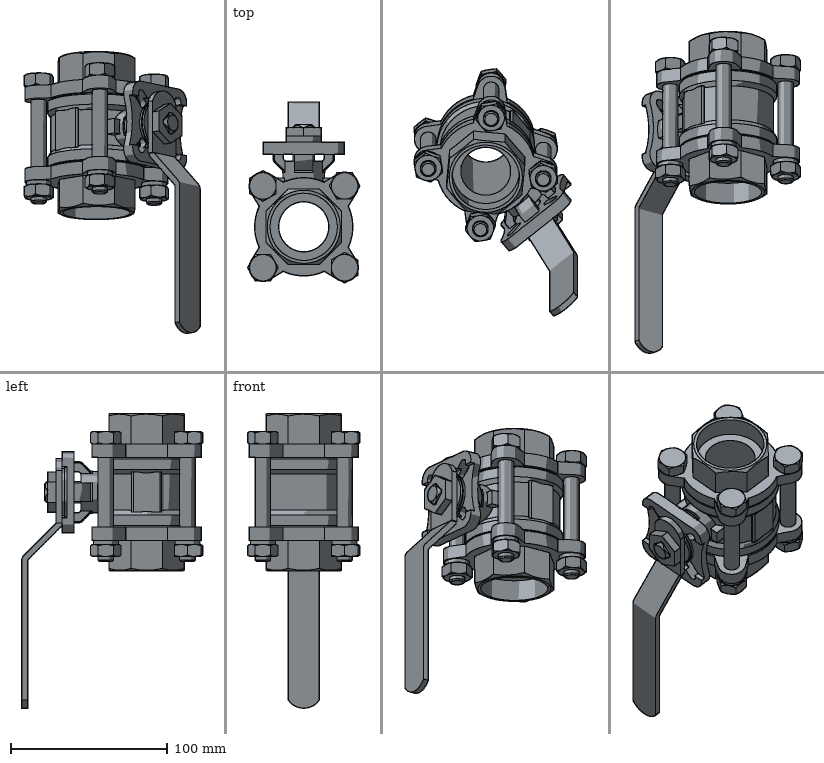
import cadquery as cq
import math


half_height = 50.5
octagon_flats = 48.4
crown_radius = 23.5
crown_slope = 30.0
thread_diameter = 43.0
thread_depth = 13.5
bore_diameter = 32.0
flange_diameter = 63.1
flange_inner_z = 22.3
flange_outer_z = 30.8

bolt_circle_radius = 37.0
bolt_diameter = 10.0
hex_flats = 17.0
hex_chamfer = 1.0
head_height = 8.1
washer_diameter = 16.0
washer_thickness = 2.6
nut_height = 7.7
bolt_tip = 3.2
lobe_radius = 8.9
lobe_side_angle = 30.0
lobe_root_x = 28.7
lobe_root_y = 13.5

ring_diameter = 62.5
ring_outer_z = 21.4
ring_inner_z = 14.5
seat_diameter = 60.5
shoulder_radius = 30.2
shoulder_z = 12.9
barrel_diameter = 58.5
barrel_z = 11.5
side_pad_x = 29.9
side_pad_half_width = 8.5
side_pad_chamfer = 1.1
side_pad_wall = 0.8
side_pad_flare_width = 1.5
side_pad_flare_rise = 1.0
neck_pad_width = 36.0
neck_pad_y = 31.4
neck_pad_height = 9.5

neck_diameter = 26.6
neck_top_y = 42.1
arm_width = 12.0
arm_outer_radius = 19.7
arm_inner_radius = 14.4
arm_foot_radius = 13.6
arm_foot_y = 34.8
arm_bend_y = neck_top_y
arm_bend_radius = 2.8
arm_corner_radius = 1.9
plate_inner_y = 46.5
plate_outer_y = 54.2
plate_half = 26.0
plate_corner_radius = 8.1
waist_half_width = 23.0
waist_half_height = 16.3
recess_depth = 3.0
slot_width = 5.7
slot_start_radius = 18.0
slot_end_radius = 25.0

collar_diameter = 32.0
washer_plate_diameter = 30.5
washer_plate_thickness = 1.5
stem_diameter = 14.0
stem_flats = 11.3
stem_end_y = 65.5
stem_chamfer = 1.9

handle_thickness = 4.0
handle_top_width = 22.5
handle_top_z = 21.7
handle_shoulder_z = 13.8
handle_bend_z = -19.8
crank_angle = 45.0
grip_width = 20.0
grip_outer_y = 80.1
grip_end_z = -138.5
grip_corner_z = -133.0
grip_bend_radius = 5.5
stem_nut_flats = 22.5
stem_nut_height = 5.3

handle_outer_y = plate_outer_y + handle_thickness
bolt_offset = bolt_circle_radius / math.sqrt(2)


def cylinder_y(diameter, start_y, end_y):
    """Round bar along Y between two heights."""
    bar = cq.Workplane("XZ").circle(diameter / 2).extrude(start_y - end_y)
    return bar.translate((0, start_y, 0))


def box_between(x_size, y_start, y_end, z_size):
    """Box centred on X and Z, running between two Y positions."""
    box = cq.Workplane("XY").box(x_size, y_end - y_start, z_size)
    return box.translate((0, (y_start + y_end) / 2, 0))


def hexagon(flats, height, chamfer):
    """Hexagonal prism on Z = 0 with both ends turned down to a round chamfer."""
    corners = flats / math.cos(math.radians(30))
    prism = cq.Workplane("XY").polygon(6, corners).extrude(height)
    envelope = cq.Workplane("XY").circle(corners / 2).extrude(height)
    return prism.intersect(envelope.faces("<Z or >Z").chamfer(chamfer, corners / 2 - flats / 2))


def make_flange():
    """Round flange with four tapered bolt lobes, on the inner flange plane."""
    thickness = flange_outer_z - flange_inner_z
    flange = cq.Workplane("XY").circle(flange_diameter / 2).extrude(thickness)
    side = math.radians(lobe_side_angle)
    tangent_x = bolt_offset + lobe_radius * math.cos(side)
    tangent_y = bolt_offset - lobe_radius * math.sin(side)
    tip = bolt_offset + lobe_radius / math.sqrt(2)
    lobe = (
        cq.Workplane("XY")
        .lineTo(lobe_root_x, lobe_root_y)
        .lineTo(tangent_x, tangent_y)
        .threePointArc((tip, tip), (tangent_y, tangent_x))
        .lineTo(lobe_root_y, lobe_root_x)
        .close()
        .extrude(thickness)
    )
    for quarter in range(4):
        flange = flange.union(lobe.rotate((0, 0, 0), (0, 0, 1), 90 * quarter))
    return flange.translate((0, 0, flange_inner_z))


def make_cap():
    """Upper end cap: flange and octagonal end with a conical crown."""
    half_side_angle = 360 / 8 / 2
    corner_radius = octagon_flats / 2 / math.cos(math.radians(half_side_angle))
    octagon = (
        cq.Workplane("XY")
        .polygon(8, 2 * corner_radius)
        .extrude(half_height - flange_inner_z)
        .rotate((0, 0, 0), (0, 0, 1), half_side_angle)
        .translate((0, 0, flange_inner_z))
    )
    crown_drop = (corner_radius - crown_radius) * math.tan(math.radians(crown_slope))
    crown = (
        cq.Workplane("XZ")
        .polyline([
            (0, 0),
            (corner_radius, 0),
            (corner_radius, half_height - crown_drop),
            (crown_radius, half_height),
            (0, half_height),
        ])
        .close()
        .revolve(360, (0, 0, 0), (0, 1, 0))
    )
    return octagon.intersect(crown).union(make_flange())


def make_centre_body():
    """Barrel with a ring at each end, narrow seats, side pads and a neck pad."""
    barrel_half = [
        (seat_diameter / 2, flange_inner_z),
        (seat_diameter / 2, ring_outer_z),
        (ring_diameter / 2, ring_outer_z),
        (ring_diameter / 2, ring_inner_z),
        (shoulder_radius, shoulder_z),
        (barrel_diameter / 2, barrel_z),
    ]
    mirrored = [(radius, -z) for radius, z in reversed(barrel_half)]
    profile = [(0, flange_inner_z)] + barrel_half + mirrored + [(0, -flange_inner_z)]
    body = cq.Workplane("XZ").polyline(profile).close().revolve(360, (0, 0, 0), (0, 1, 0))
    wall_y = side_pad_half_width + side_pad_chamfer
    wall_top_x = side_pad_x - side_pad_chamfer
    flare_x = wall_top_x - side_pad_wall
    root_x = flare_x - side_pad_flare_rise
    root_y = wall_y + side_pad_flare_width
    side_pads = (
        cq.Workplane("XY")
        .lineTo(side_pad_x, 0)
        .lineTo(side_pad_x, side_pad_half_width)
        .lineTo(wall_top_x, wall_y)
        .lineTo(flare_x, wall_y)
        .lineTo(root_x, root_y)
        .lineTo(0, root_y)
        .close()
        .extrude(shoulder_z, both=True)
    )
    side_pads = side_pads.union(side_pads.mirror("XZ"))
    side_pads = side_pads.union(side_pads.mirror("YZ"))
    neck_pad = box_between(neck_pad_width, 0, neck_pad_y, neck_pad_height)
    return body.union(side_pads).union(neck_pad)


def make_bolt():
    """Bolt along Z on its own axis: head above, washer, nut and tip below."""
    washer_z = -flange_outer_z - washer_thickness
    nut_z = washer_z - nut_height
    tip_z = nut_z - bolt_tip
    shank = (
        cq.Workplane("XY")
        .circle(bolt_diameter / 2)
        .extrude(flange_outer_z - tip_z)
        .faces("<Z")
        .chamfer(hex_chamfer)
        .translate((0, 0, tip_z))
    )
    head = hexagon(hex_flats, head_height, hex_chamfer).translate((0, 0, flange_outer_z))
    washer = cq.Workplane("XY").circle(washer_diameter / 2).extrude(washer_thickness)
    nut = hexagon(hex_flats, nut_height, hex_chamfer).translate((0, 0, nut_z))
    return shank.union(head).union(washer.translate((0, 0, washer_z))).union(nut)


def make_bracket():
    """Four cranked arms that carry the mounting plate from the neck."""
    crank_foot_y = arm_bend_y - (arm_outer_radius - arm_foot_radius)
    ring = (
        cq.Workplane("XY")
        .polyline([
            (0, arm_foot_y),
            (arm_foot_radius, arm_foot_y),
            (arm_foot_radius, crank_foot_y),
            (arm_outer_radius, arm_bend_y),
            (arm_outer_radius, plate_inner_y),
            (0, plate_inner_y),
        ])
        .close()
        .revolve(360, (0, 0, 0), (0, 1, 0))
    )
    bend = cq.selectors.NearestToPointSelector((0, arm_bend_y, 0))
    ring = ring.edges("%CIRCLE").edges(bend).fillet(arm_bend_radius)
    window = cylinder_y(2 * arm_inner_radius, neck_top_y, plate_inner_y)
    ring = ring.cut(window.faces("<Y").edges().fillet(arm_corner_radius))
    span = 2 * arm_outer_radius
    cross = box_between(span, arm_foot_y, plate_inner_y, arm_width)
    cross = cross.union(box_between(arm_width, arm_foot_y, plate_inner_y, span))
    return ring.intersect(cross)


def make_plate():
    """Mounting plate with waisted sides, an outer recess and four diagonal slots."""
    corner = plate_half - plate_corner_radius
    drop = corner - waist_half_height
    waist_x = corner + math.sqrt(plate_corner_radius**2 - drop**2)
    diagonal = corner + plate_corner_radius / math.sqrt(2)
    plate = (
        cq.Workplane("XZ")
        .moveTo(-corner, plate_half)
        .lineTo(corner, plate_half)
        .threePointArc((diagonal, diagonal), (waist_x, waist_half_height))
        .threePointArc((waist_half_width, 0), (waist_x, -waist_half_height))
        .threePointArc((diagonal, -diagonal), (corner, -plate_half))
        .lineTo(-corner, -plate_half)
        .threePointArc((-diagonal, -diagonal), (-waist_x, -waist_half_height))
        .threePointArc((-waist_half_width, 0), (-waist_x, waist_half_height))
        .threePointArc((-diagonal, diagonal), (-corner, plate_half))
        .close()
        .extrude(plate_inner_y - plate_outer_y)
        .translate((0, plate_inner_y, 0))
    )
    recess = box_between(
        2 * plate_half, plate_outer_y - recess_depth, plate_outer_y, 2 * waist_half_height
    )
    slot_middle_radius = (slot_start_radius + slot_end_radius) / 2
    slot_length = slot_end_radius - slot_start_radius + slot_width
    slots = (
        cq.Workplane("XZ")
        .polarArray(slot_middle_radius, 45, 360, 4)
        .slot2D(slot_length, slot_width)
        .extrude(plate_inner_y - plate_outer_y)
        .translate((0, plate_inner_y, 0))
    )
    return plate.cut(recess).cut(slots)


def make_stem_end():
    """Stem above the plate: a square set on its corner with rounded, chamfered corners."""
    bar = cylinder_y(stem_diameter, plate_outer_y, stem_end_y).faces(">Y").chamfer(stem_chamfer)
    square = box_between(stem_flats, plate_outer_y, stem_end_y, stem_flats)
    return bar.intersect(square.rotate((0, 0, 0), (0, 1, 0), 45))


def make_valve():
    """Bolted valve with its neck, bracket, mounting plate and stem."""
    cap = make_cap()
    valve = make_centre_body().union(cap).union(cap.mirror("XY"))
    valve = valve.union(cylinder_y(neck_diameter, 0, neck_top_y))
    valve = valve.union(make_bracket()).union(make_plate())
    valve = valve.union(cylinder_y(stem_diameter, neck_top_y, plate_outer_y))
    washer_plate_y = plate_outer_y - washer_plate_thickness
    valve = valve.union(cylinder_y(collar_diameter, plate_outer_y - recess_depth, washer_plate_y))
    valve = valve.union(cylinder_y(washer_plate_diameter, washer_plate_y, plate_outer_y))
    valve = valve.union(make_stem_end())
    bolt = make_bolt().translate((bolt_offset, bolt_offset, 0))
    for quarter in range(4):
        valve = valve.union(bolt.rotate((0, 0, 0), (0, 0, 1), 90 * quarter))
    valve = valve.cut(cq.Workplane("XY").circle(bore_diameter / 2).extrude(half_height, both=True))
    thread = cq.Workplane("XY").circle(thread_diameter / 2).extrude(thread_depth)
    valve = valve.cut(thread.translate((0, 0, half_height - thread_depth)))
    return valve.cut(thread.translate((0, 0, -half_height)))


def make_handle():
    """Cranked lever: a strip bent outward at an angle, then straight down."""
    miter = handle_thickness * math.tan(math.radians(crank_angle / 2))
    grip_inner_y = grip_outer_y - handle_thickness
    crank_z = handle_bend_z - (grip_outer_y - handle_outer_y) / math.tan(math.radians(crank_angle))
    strip = (
        cq.Workplane("YZ")
        .polyline([
            (plate_outer_y, handle_top_z),
            (handle_outer_y, handle_top_z),
            (handle_outer_y, handle_bend_z),
            (grip_outer_y, crank_z),
            (grip_outer_y, grip_end_z),
            (grip_inner_y, grip_end_z),
            (grip_inner_y, crank_z - miter),
            (plate_outer_y, handle_bend_z - miter),
        ])
        .close()
        .extrude(handle_top_width / 2, both=True)
    )
    outer_bend = cq.selectors.NearestToPointSelector((0, grip_outer_y, crank_z))
    inner_bend = cq.selectors.NearestToPointSelector((0, grip_inner_y, crank_z - miter))
    strip = strip.edges(outer_bend).fillet(grip_bend_radius)
    strip = strip.edges(inner_bend).fillet(grip_bend_radius - handle_thickness)
    outline = (
        cq.Workplane("XZ")
        .moveTo(-handle_top_width / 2, handle_shoulder_z)
        .threePointArc((0, handle_top_z), (handle_top_width / 2, handle_shoulder_z))
        .lineTo(handle_top_width / 2, handle_bend_z)
        .lineTo(grip_width / 2, handle_bend_z)
        .lineTo(grip_width / 2, grip_corner_z)
        .threePointArc((0, grip_end_z), (-grip_width / 2, grip_corner_z))
        .lineTo(-grip_width / 2, handle_bend_z)
        .lineTo(-handle_top_width / 2, handle_bend_z)
        .close()
        .extrude(-grip_outer_y)
    )
    return strip.intersect(outline).cut(make_stem_end())


def make_stem_nut():
    """Plain hexagonal nut that clamps the handle, corners pointing up and down."""
    nut = (
        cq.Workplane("XZ")
        .polygon(6, stem_nut_flats / math.cos(math.radians(30)))
        .extrude(-stem_nut_height)
        .rotate((0, 0, 0), (0, 1, 0), 30)
        .translate((0, handle_outer_y, 0))
    )
    return nut.cut(make_stem_end())


valve = make_valve()
handle = make_handle()
stem_nut = make_stem_nut()

result = cq.Compound.makeCompound([valve.val(), handle.val(), stem_nut.val()])